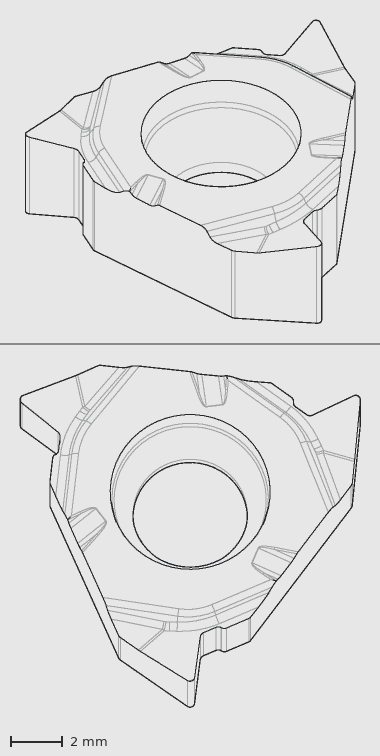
import math

import cadquery as cq

thickness = 3.97
inscribed_radius = 4.7625
corner_count = 3
corner_step = 360 / corner_count
side_angle = corner_step - 90

tooth_half_angle = 30.8
nose_radius = 0.18
nose_x = -2.955
nose_y = -6.912
flank_start_radius = 0.25

relief_y = -5.228
root_radius = 0.227
step_x = -1.025
step_angle = 57
step_radius = 0.2
land_y = -5.425
land_end_radius = 0.15

rake_angle = 15
rake_start_y = -6.88
back_facet_start_y = -4.05
back_facet_height = 3.46
back_facet_slope_x = -0.086
back_facet_slope_y = -0.018
crease_radius = 0.35
wall_angle = 60
wall_radius = 0.3
plateau_y = -4.44
plateau_corner_x = -1.70
plateau_turn = 32.4
plateau_corner_radius = 2.3

slot_mouth_y = 0.243
slot_direction = 13.7
slot_length = 1.286
slot_depth = 0.22
slot_floor_width = 0.63
slot_wall_angle = 40
slot_radius = 0.3
slot_rim_radius = 0.12

hole_radius = 4.4 / 2
seat_foot_radius = 3.01
seat_taper = 3.7
seat_blend_radius = 0.4
throat_radius = 3.6
throat_end_height = 0.52

clearance = 1
reach = 12
edge_margin = 0.1

corner_left = -7
corner_right = 4
corner_front = -9
corner_back = -2
corner_bottom = 2


def tan(degrees):
    return math.tan(math.radians(degrees))


def sin(degrees):
    return math.sin(math.radians(degrees))


def cos(degrees):
    return math.cos(math.radians(degrees))


def turned(point, degrees):
    """Point turned about the origin."""
    x, y = point
    return (x * cos(degrees) - y * sin(degrees), x * sin(degrees) + y * cos(degrees))


def rounded_outline(corners):
    """Closed wire through (point, radius) corners, each rounded by a tangent arc."""
    arcs = []
    for i, (corner, radius) in enumerate(corners):
        here = cq.Vector(*corner)
        back = (cq.Vector(*corners[i - 1][0]) - here).normalized()
        ahead = (cq.Vector(*corners[(i + 1) % len(corners)][0]) - here).normalized()
        half_angle = back.getAngle(ahead) / 2
        setback = radius / math.tan(half_angle)
        bisector = (back + ahead).normalized()
        middle = here + bisector * (radius / math.sin(half_angle) - radius)
        arcs.append((here + back * setback, middle, here + ahead * setback))
    wire = cq.Workplane("XY").moveTo(*arcs[0][2].toTuple()[:2])
    for start, middle, end in arcs[1:] + arcs[:1]:
        wire = wire.lineTo(start.x, start.y)
        wire = wire.threePointArc((middle.x, middle.y), (end.x, end.y))
    return wire.close()


def at_every_corner(tool):
    """Copies of a body turned to each corner."""
    origin = (0, 0, 0)
    axis_end = (0, 0, 1)
    return [tool.rotate(origin, axis_end, i * corner_step) for i in range(corner_count)]


def blank():
    """Prism of the full outline: tooth, relief, step and land at every corner."""
    apex_y = nose_y + nose_radius - nose_radius / sin(tooth_half_angle)
    flank_start_y = apex_y + (nose_x + inscribed_radius) / tan(tooth_half_angle)
    root_x = nose_x + (relief_y - apex_y) * tan(tooth_half_angle)
    half_step_run = (relief_y - land_y) / tan(step_angle) / 2
    land_end_x = (inscribed_radius + land_y * cos(side_angle)) / sin(side_angle)
    one_corner = [
        ((-inscribed_radius, flank_start_y), flank_start_radius),
        ((nose_x, apex_y), nose_radius),
        ((root_x, relief_y), root_radius),
        ((step_x - half_step_run, relief_y), step_radius),
        ((step_x + half_step_run, land_y), step_radius),
        ((land_end_x, land_y), land_end_radius),
    ]
    corners = []
    for i in range(corner_count):
        corners += [(turned(point, i * corner_step), radius) for point, radius in one_corner]
    return rounded_outline(corners).extrude(thickness)


def screw_hole():
    """Tapered seat, blended into a rounded throat that ends in a straight hole."""
    throat_centre_x = hole_radius + throat_radius
    blend_centre_x = seat_foot_radius - seat_blend_radius * cos(seat_taper)
    centre_distance = throat_radius + seat_blend_radius
    across = throat_centre_x - blend_centre_x
    blend_angle = math.degrees(math.acos(across / centre_distance))
    blend_height = throat_end_height + centre_distance * sin(blend_angle)
    seat_foot_height = blend_height - seat_blend_radius * sin(seat_taper)
    mouth_height = thickness + clearance
    mouth_radius = seat_foot_radius + (mouth_height - seat_foot_height) * tan(seat_taper)
    blend_middle = (blend_angle + seat_taper) / 2

    def throat_point(angle):
        return (
            throat_centre_x - throat_radius * cos(angle),
            throat_end_height + throat_radius * sin(angle),
        )

    def blend_point(angle):
        return (
            blend_centre_x + seat_blend_radius * cos(angle),
            blend_height - seat_blend_radius * sin(angle),
        )

    return (
        cq.Workplane("XZ")
        .moveTo(0, -clearance)
        .lineTo(hole_radius, -clearance)
        .lineTo(hole_radius, throat_end_height)
        .threePointArc(throat_point(blend_angle / 2), throat_point(blend_angle))
        .threePointArc(blend_point(blend_middle), blend_point(seat_taper))
        .lineTo(mouth_radius, mouth_height)
        .lineTo(0, mouth_height)
        .close()
        .revolve(360, (0, 0, 0), (0, 1, 0))
    )


def above_plane(height_at_origin, slope_x, slope_y):
    """Large block whose lower face is z = height + slope_x * x + slope_y * y."""
    plane = cq.Plane(
        origin=(0, 0, height_at_origin),
        xDir=(1, 0, slope_x),
        normal=(-slope_x, -slope_y, 1),
    )
    return cq.Workplane(plane).rect(4 * reach, 4 * reach).extrude(reach)


def within(x_range, y_range, z_range):
    """Selector for edges whose centre lies in the given ranges."""
    return cq.selectors.BoxSelector(*zip(x_range, y_range, z_range))


def corner_space():
    """Block that holds all of the chip breaker of one corner."""
    return (
        cq.Workplane("XY")
        .box(
            corner_right - corner_left,
            corner_back - corner_front,
            thickness + clearance - corner_bottom,
            centered=False,
        )
        .translate((corner_left, corner_front, corner_bottom))
    )


def raised_centre():
    """Material inside the plateau edge of one corner, widening downwards."""
    overhang = wall_radius * tan(wall_angle / 2)
    corner_x = plateau_corner_x - overhang * tan(plateau_turn / 2)
    corner_y = plateau_y - overhang
    corner_radius = plateau_corner_radius + overhang
    setback = corner_radius * tan(plateau_turn / 2)
    arc_start = (corner_x + setback, corner_y)
    arc_middle = (
        arc_start[0] - corner_radius * sin(plateau_turn / 2),
        corner_y + corner_radius * (1 - cos(plateau_turn / 2)),
    )
    arc_end = (corner_x - setback * cos(plateau_turn), corner_y + setback * sin(plateau_turn))
    far_end = (
        arc_end[0] - reach * cos(plateau_turn),
        arc_end[1] + reach * sin(plateau_turn),
    )
    centre = (
        cq.Workplane("XY", origin=(0, 0, thickness))
        .moveTo(reach, corner_y)
        .lineTo(*arc_start)
        .threePointArc(arc_middle, arc_end)
        .lineTo(*far_end)
        .lineTo(far_end[0], reach)
        .lineTo(reach, reach)
        .close()
        .extrude(corner_bottom - thickness, taper=wall_angle - 90)
        .intersect(corner_space())
    )
    top_rim = within(
        (corner_left, corner_right - edge_margin),
        (corner_front, corner_back - edge_margin),
        (thickness - edge_margin, thickness + edge_margin),
    )
    return centre.edges(top_rim).fillet(wall_radius)


def chip_breaker():
    """Cutting body for one corner: over the facets and outside the raised centre."""
    rake_slope = -tan(rake_angle)
    rake_height = thickness - rake_slope * rake_start_y
    back_height = (
        back_facet_height
        + back_facet_slope_x * inscribed_radius
        - back_facet_slope_y * back_facet_start_y
    )
    pocket = (
        corner_space()
        .intersect(above_plane(rake_height, 0, rake_slope))
        .intersect(above_plane(back_height, back_facet_slope_x, back_facet_slope_y))
        .cut(raised_centre())
    )
    below_top = (corner_bottom, thickness - edge_margin)
    crease = within(
        (corner_left + edge_margin, -inscribed_radius),
        (rake_start_y, plateau_y),
        below_top,
    )
    pocket = pocket.edges(crease).fillet(crease_radius)
    wall_foot = within(
        (-inscribed_radius, corner_right - edge_margin),
        (relief_y, corner_back - edge_margin),
        below_top,
    )
    return pocket.edges(wall_foot).fillet(wall_radius)


def wedge_slot():
    """Slot whose floor climbs from the side face until it runs out in the top face."""
    climb = math.degrees(math.atan(slot_depth / slot_length))
    overrun = clearance * tan(climb)
    floor_half_width = slot_floor_width / 2 + slot_radius * tan(slot_wall_angle / 2)
    section_height = 2 * clearance
    top_half_width = floor_half_width + section_height / tan(slot_wall_angle)
    mouth = cq.Plane(
        origin=(
            -inscribed_radius - clearance * cos(slot_direction),
            slot_mouth_y - clearance * sin(slot_direction),
            thickness - slot_depth - overrun,
        ),
        xDir=(-sin(slot_direction), cos(slot_direction), 0),
        normal=(cos(slot_direction), sin(slot_direction), tan(climb)),
    )
    return (
        cq.Workplane(mouth)
        .moveTo(-floor_half_width, 0)
        .lineTo(floor_half_width, 0)
        .lineTo(top_half_width, section_height)
        .lineTo(-top_half_width, section_height)
        .close()
        .extrude(slot_length + 2 * clearance)
        .edges(cq.selectors.ParallelDirSelector(mouth.zDir))
        .edges(cq.selectors.CenterNthSelector(mouth.yDir, 0))
        .fillet(slot_radius)
    )


def with_slots(body):
    """Cut one slot per side and round its rim, turning the body to bring up each side."""
    slot = wedge_slot()
    slot_rim = within(
        (-inscribed_radius + edge_margin, -hole_radius),
        (slot_mouth_y - clearance, slot_mouth_y + clearance),
        (thickness - edge_margin / 2, thickness + edge_margin),
    )
    for _ in range(corner_count):
        body = body.cut(slot).edges(slot_rim).fillet(slot_rim_radius)
        body = body.rotate((0, 0, 0), (0, 0, 1), corner_step)
    return body


result = with_slots(blank().cut(screw_hole()))
for pocket in at_every_corner(chip_breaker()):
    result = result.cut(pocket)